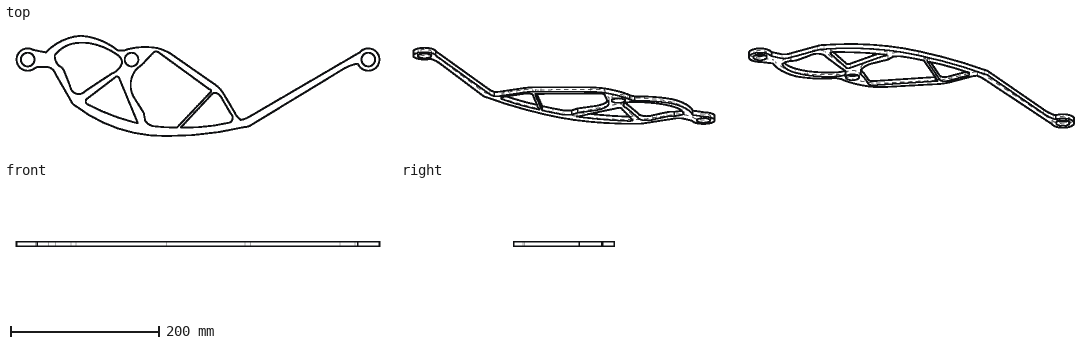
import cadquery as cq

length = 490.0
thickness = 6.5
hole_diameter = 18.0
boss_radius = 15.0
right_hole_x = length - 2 * boss_radius
middle_hole_x = 140.0
left_pin = (0, 0)
middle_pin = (middle_hole_x, 0)
right_pin = (right_hole_x, 0)


def trace(start, segments):
    """Extrude a closed outline; a segment is (end,) for a line or (middle, end) for an arc."""
    path = cq.Workplane("XY").moveTo(*start)
    for segment in segments:
        if len(segment) == 1:
            path = path.lineTo(*segment[0])
        else:
            path = path.threePointArc(*segment)
    return path.close().extrude(thickness)


def body():
    """Solid arm, from the left neck clockwise round to the left neck again."""
    return trace(left_pin, [
        ((2.5, 14.0),),
        ((24.5, 10.0),),
        ((45.0, 25.0), (72.0, 32.5)),
        ((97.5, 26.5), (122.0, 12.2)),
        ((130.0, 12.2),),
        ((135.0, 14.0),),
        ((157.0, 17.0), (175.0, 15.5)),
        ((183.5, 12.5), (192.5, 8.5)),
        ((247.5, -30.0),),
        ((256.0, -36.5), (264.0, -45.5)),
        ((279.5, -71.0),),
        ((282.5, -77.0), (287.5, -81.5)),
        ((293.0, -80.0), (298.5, -77.5)),
        ((448.0, 10.0),),
        (right_pin,),
        ((447.5, -5.5),),
        ((441.5, -6.5),),
        ((431.5, -10.0), (421.5, -15.5)),
        ((300.5, -89.0),),
        ((297.0, -90.5), (293.0, -91.0)),
        ((255.0, -98.5), (186.5, -103.5)),
        ((109.0, -88.0), (64.5, -62.5)),
        ((61.0, -60.5), (58.5, -56.0)),
        ((37.0, -19.0),),
        ((33.5, -13.0), (27.5, -10.5)),
        ((12.5, -10.5),),
        ((2.5, -14.5),),
    ])


def upper_left_window():
    return trace((36.7, 6.0), [
        ((48.0, 16.0), (64.5, 22.0)),
        ((73.5, 22.5), (83.0, 22.0)),
        ((104.5, 15.5), (121.0, 6.5)),
        ((125.0, 2.5), (127.5, -4.0)),
        ((122.0, -13.0), (113.5, -18.5)),
        ((78.0, -42.0),),
        ((66.0, -46.0), (58.0, -37.5)),
        ((56.0, -32.0),),
        ((49.5, -16.0),),
        ((46.5, -11.5), (42.0, -8.5)),
        ((38.0, -2.5), (36.7, 6.0)),
    ])


def triangular_window():
    return trace((81.0, -52.5), [
        ((117.5, -24.5),),
        ((120.5, -23.0), (123.5, -25.5)),
        ((148.5, -85.5),),
        ((142.5, -84.5),),
        ((110.5, -74.0), (81.0, -60.5)),
        ((78.5, -57.0), (81.0, -52.5)),
    ])


def large_window():
    return trace((170.0, 10.0), [
        ((173.0, 11.0), (176.5, 10.0)),
        ((245.0, -40.0),),
        ((247.5, -42.0), (246.5, -44.0)),
        ((201.5, -91.5),),
        ((184.5, -91.0),),
        ((169.0, -89.5),),
        ((162.5, -86.5), (158.5, -83.0)),
        ((157.0, -72.0),),
        ((142.5, -49.5),),
        ((139.0, -32.0), (147.0, -12.5)),
        ((154.5, -7.0),),
    ])


def right_window():
    return trace((206.8, -91.5), [
        ((249.5, -46.0),),
        ((253.5, -45.0), (256.0, -46.0)),
        ((260.0, -49.5), (262.5, -54.0)),
        ((274.0, -73.0),),
        ((276.5, -79.5), (273.0, -85.0)),
        ((241.5, -90.0), (206.8, -91.5)),
    ])


bosses = (
    cq.Workplane("XY")
    .pushPoints([left_pin, right_pin])
    .circle(boss_radius)
    .extrude(thickness)
)
pin_holes = (
    cq.Workplane("XY")
    .pushPoints([left_pin, middle_pin, right_pin])
    .circle(hole_diameter / 2)
    .extrude(thickness)
)

result = body().union(bosses)
for window in (upper_left_window(), triangular_window(), large_window(), right_window()):
    result = result.cut(window)
result = result.cut(pin_holes)